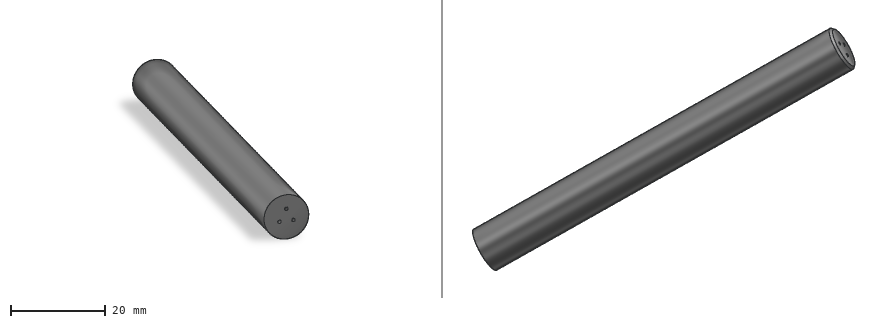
import cadquery as cq
import math

length = 90.0
rod_diameter = 10.0
end_chamfer = 0.5

hole_count = 3
hole_diameter = 0.7
hole_circle_radius = 1.8
first_hole_angle = 95.0
helix_angle = 30.0
helix_pitch = math.pi * rod_diameter / math.tan(math.radians(helix_angle))
total_twist = 360 * length / helix_pitch


def make_rod():
    rod = cq.Workplane("YZ", origin=(-length / 2, 0, 0)).circle(rod_diameter / 2).extrude(length)
    return rod.faces("<X").chamfer(end_chamfer)


def make_helical_holes():
    return (
        cq.Workplane("YZ", origin=(-length / 2, 0, 0))
        .polarArray(hole_circle_radius, first_hole_angle, 360, hole_count)
        .circle(hole_diameter / 2)
        .twistExtrude(length, total_twist)
    )


result = make_rod().cut(make_helical_holes())